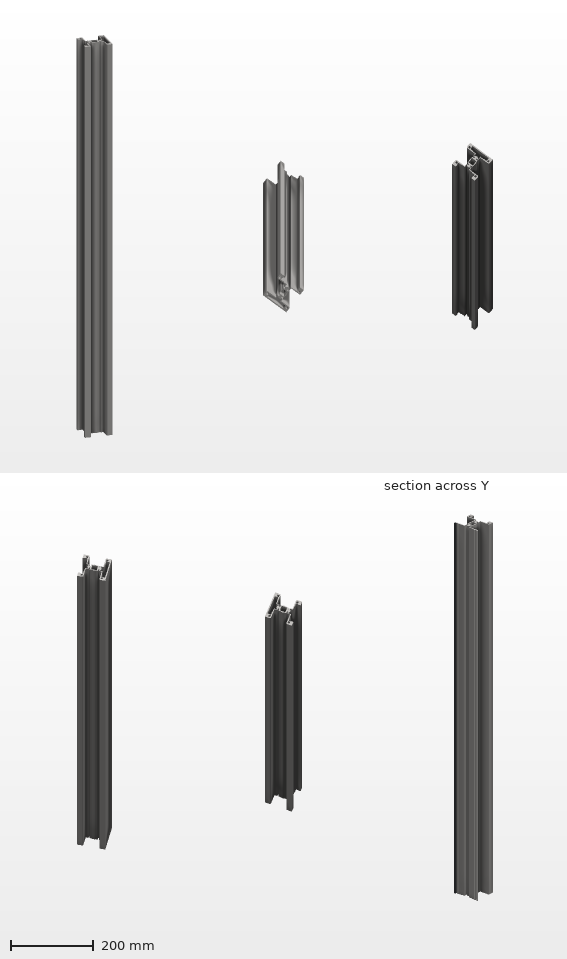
import cadquery as cq

length = 1000.0
width = 70.0
half_width = width / 2

plate_thickness = 3.0
flange_near = 20.0
flange_thickness = 2.0
flange_step_x = 16.0
flange_step = 1.0
corner_radius = 3.0
corner_wall_inner = 25.0

foot_inner = 24.0
foot_height = 7.0

channel_x = 29.0
channel_y = 25.0
channel_size = 5.0

web_outer = 8.0
web_inner = 6.5
web_block_start = 7.0
web_block_end = 14.0
web_groove_start = 10.0
web_groove_end = 13.0
web_groove_inner = 3.0

side_ridge_half_width = 5.0
side_ridge_rise = 1.2
end_ridge_half_width = 5.4
end_ridge_rise = 3.5

overlap = 0.5


def bar(x_min, x_max, y_min, y_max):
    """Rectangular bar along the full length."""
    section = cq.Workplane("XY").moveTo(x_min, y_min).lineTo(x_max, y_min).lineTo(x_max, y_max)
    return section.lineTo(x_min, y_max).close().extrude(length)


def both_sides(body):
    """Body together with its mirror image across the YZ plane."""
    return body.union(body.mirror("YZ"))


def front_and_back(body):
    """Body together with its mirror image across the XZ plane."""
    return body.union(body.mirror("XZ"))


def corner_walls():
    """Four corner walls, rounded on the edge that faces the side slots."""
    walls = bar(-half_width, -corner_wall_inner, flange_near, half_width)
    walls = walls.edges("|Z and <X and <Y").fillet(corner_radius)
    return front_and_back(both_sides(walls))


def flanges():
    """Thin flanges joining the corner walls to the web, thicker next to the walls."""
    outer_end = -corner_wall_inner - overlap
    thin_far = flange_near + flange_thickness
    thin = bar(outer_end, -web_inner, flange_near, thin_far)
    thick = bar(outer_end, -flange_step_x, flange_near, thin_far + flange_step)
    return front_and_back(both_sides(thin.union(thick)))


def top_plate():
    """Closed plate on the +Y side."""
    return bar(-half_width, half_width, half_width - plate_thickness, half_width)


def feet():
    """Two feet on the -Y side."""
    return both_sides(bar(-half_width, -foot_inner, -half_width, -half_width + foot_height))


def web():
    """Hollow web with two cross blocks, each grooved from both sides."""
    reach = flange_near + flange_thickness
    walls = both_sides(bar(-web_outer, -web_inner, -reach, reach))
    blocks = front_and_back(bar(-web_outer, web_outer, web_block_start, web_block_end))
    grooves = front_and_back(both_sides(bar(-web_outer, -web_groove_inner, web_groove_start, web_groove_end)))
    return walls.union(blocks).cut(grooves)


def ridge(half_chord, rise):
    """Ridge with an arched top, standing on the X axis."""
    return (
        cq.Workplane("XY")
        .moveTo(-half_chord, -overlap)
        .lineTo(-half_chord, 0)
        .threePointArc((0, rise), (half_chord, 0))
        .lineTo(half_chord, -overlap)
        .close()
        .extrude(length)
    )


def ridges():
    """Arched ridges on both web sides and on both cross blocks."""
    end_ridge = ridge(end_ridge_half_width, end_ridge_rise).translate((0, web_block_end, 0))
    side_ridge = ridge(side_ridge_half_width, side_ridge_rise)
    side_ridge = side_ridge.rotate((0, 0, 0), (0, 0, 1), 90).translate((-web_outer, 0, 0))
    return front_and_back(end_ridge).union(both_sides(side_ridge))


def screw_channels():
    """Square channels through the four corners."""
    half = channel_size / 2
    channel = bar(-channel_x - half, -channel_x + half, channel_y - half, channel_y + half)
    return front_and_back(both_sides(channel))


result = top_plate()
for piece in (corner_walls(), feet(), flanges(), web(), ridges()):
    result = result.union(piece)
result = result.cut(screw_channels())